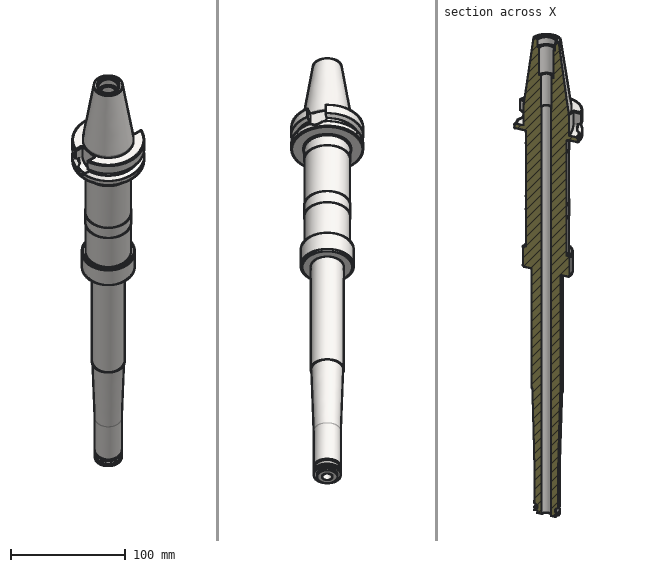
import cadquery as cq
import math

total_length = 460.9
shank_length = 65.4
bottom_z = shank_length - total_length

gauge_diameter = 44.45
taper_ratio = 7 / 24
shank_tip_diameter = gauge_diameter - taper_ratio * shank_length
shank_tip_chamfer = 0.4

flange_diameter = 63.0
flange_top_z = -2.0
flange_bottom_z = -27.0
groove_center_z = -16.6
groove_mouth_width = 9.0
groove_core_diameter = 55.0
groove_flank_angle = 30.0
flange_edge_chamfer = 0.8
flange_root_chamfer = 0.8

keyway_width = 16.1
keyway_floor_offset = 22.5
keyway_bottom_z = -22.0
keyway_top_chamfer = 1.0
keyway_rim_chamfer_start = 29.8

body_diameter = 40.0
band_diameter = 40.5
upper_band_end_z = -38.9
lower_band_top_z = -90.5
lower_band_end_z = -103.0

collar_diameter = 46.5
collar_top_z = -139.0
collar_bottom_z = -159.6
collar_top_chamfer = 1.0
collar_bottom_chamfer = 1.5

arbor_diameter = 29.0
arbor_end_z = -275.0
cone_top_diameter = 28.0
nose_diameter = 24.0
nose_top_z = -344.5
nose_bottom_z = -386.2
nose_step_height = 1.3
neck_top_z = -388.5

neck_diameter = 18.0
rim_diameter = 23.8
rim_top_z = -390.4
rim_bottom_z = -393.2

mouth_diameter = 19.5
pilot_diameter = 17.0
pilot_depth = 8.0
thread_bore_diameter = 13.84
thread_bore_depth = 35.0
thread_mouth_diameter = 15.0
relief_bore_diameter = 10.0
relief_bore_depth = shank_length
coolant_bore_diameter = 9.0


def revolve_stations(stations):
    """Revolve (diameter, z) stations about the Z axis into a solid closed on the axis."""
    first_z = stations[0][1]
    last_z = stations[-1][1]
    outline = [(diameter / 2, z) for diameter, z in stations]
    profile = cq.Workplane("XZ").polyline([(0, first_z)] + outline + [(0, last_z)]).close()
    return profile.revolve(360, (0, 0), (0, 1))


def make_body():
    """Revolve the stepped outer profile about the Z axis."""
    groove_depth = (flange_diameter - groove_core_diameter) / 2
    flank_height = groove_depth * math.tan(math.radians(groove_flank_angle))
    groove_top_z = groove_center_z + groove_mouth_width / 2
    groove_bottom_z = groove_center_z - groove_mouth_width / 2

    stations = [
        (shank_tip_diameter - 2 * shank_tip_chamfer, shank_length),
        (shank_tip_diameter + taper_ratio * shank_tip_chamfer, shank_length - shank_tip_chamfer),
        (gauge_diameter, 0),
        (gauge_diameter, flange_top_z),
        (flange_diameter - 2 * flange_edge_chamfer, flange_top_z),
        (flange_diameter, flange_top_z - flange_edge_chamfer),
        (flange_diameter, groove_top_z),
        (groove_core_diameter, groove_top_z - flank_height),
        (groove_core_diameter, groove_bottom_z + flank_height),
        (flange_diameter, groove_bottom_z),
        (flange_diameter, flange_bottom_z + flange_edge_chamfer),
        (flange_diameter - 2 * flange_edge_chamfer, flange_bottom_z),
        (band_diameter + 2 * flange_root_chamfer, flange_bottom_z),
        (band_diameter, flange_bottom_z - flange_root_chamfer),
        (band_diameter, upper_band_end_z),
        (body_diameter, upper_band_end_z),
        (body_diameter, lower_band_top_z),
        (band_diameter, lower_band_top_z),
        (band_diameter, lower_band_end_z),
        (body_diameter, lower_band_end_z),
        (body_diameter, collar_top_z),
        (collar_diameter - 2 * collar_top_chamfer, collar_top_z),
        (collar_diameter, collar_top_z - collar_top_chamfer),
        (collar_diameter, collar_bottom_z + collar_bottom_chamfer),
        (collar_diameter - 2 * collar_bottom_chamfer, collar_bottom_z),
        (arbor_diameter, collar_bottom_z),
        (arbor_diameter, arbor_end_z),
        (cone_top_diameter, arbor_end_z),
        (nose_diameter, nose_top_z),
        (nose_diameter, nose_bottom_z + nose_step_height),
        (rim_diameter, nose_bottom_z + nose_step_height),
        (rim_diameter, nose_bottom_z),
        (neck_diameter, neck_top_z),
        (neck_diameter, rim_top_z),
        (rim_diameter, rim_top_z),
        (rim_diameter, rim_bottom_z),
        (neck_diameter, rim_bottom_z),
        (neck_diameter, bottom_z),
    ]
    return revolve_stations(stations)


def keyway_plane(side, offset):
    """XZ workplane at the given distance from the axis; side is +1 or -1 along Y."""
    return cq.Workplane("XZ", origin=(0, side * offset, 0))


def keyway_outline(plane):
    """Round-ended slot outline, open at the flange top."""
    half_width = keyway_width / 2
    arc_center_z = keyway_bottom_z + half_width
    return (
        plane.moveTo(-half_width, flange_top_z)
        .lineTo(-half_width, arc_center_z)
        .threePointArc((0, keyway_bottom_z), (half_width, arc_center_z))
        .lineTo(half_width, flange_top_z)
        .close()
    )


def make_keyway(side):
    """Keyway with chamfers along the rim and along the top face."""
    outward = -side
    flange_radius = flange_diameter / 2
    floor = keyway_plane(side, keyway_floor_offset)
    slot = keyway_outline(floor).extrude(outward * (flange_radius - keyway_floor_offset))

    rim_start = keyway_plane(side, keyway_rim_chamfer_start)
    rim_depth = flange_radius - keyway_rim_chamfer_start
    rim_chamfer = keyway_outline(rim_start).extrude(outward * rim_depth, taper=-45)

    inner_x = keyway_width / 2
    outer_x = inner_x + keyway_top_chamfer
    chamfer_z = flange_top_z - keyway_top_chamfer
    corners = [(-outer_x, flange_top_z), (outer_x, flange_top_z), (inner_x, chamfer_z), (-inner_x, chamfer_z)]
    top_chamfer = floor.polyline(corners).close().extrude(outward * (flange_radius - keyway_floor_offset))
    return slot.union(rim_chamfer).union(top_chamfer)


def make_bore():
    """Revolve the stepped through bore, with chamfers at the mouth and at the thread bore."""
    mouth_chamfer = (mouth_diameter - pilot_diameter) / 2
    thread_chamfer = (thread_mouth_diameter - thread_bore_diameter) / 2

    stations = [
        (mouth_diameter, 0),
        (pilot_diameter, mouth_chamfer),
        (pilot_diameter, pilot_depth),
        (thread_mouth_diameter, pilot_depth),
        (thread_bore_diameter, pilot_depth + thread_chamfer),
        (thread_bore_diameter, thread_bore_depth),
        (relief_bore_diameter, thread_bore_depth),
        (relief_bore_diameter, relief_bore_depth),
        (coolant_bore_diameter, relief_bore_depth),
        (coolant_bore_diameter, total_length),
    ]
    return revolve_stations([(diameter, shank_length - depth) for diameter, depth in stations])


result = make_body()
for keyway_side in (1, -1):
    result = result.cut(make_keyway(keyway_side))
result = result.cut(make_bore())